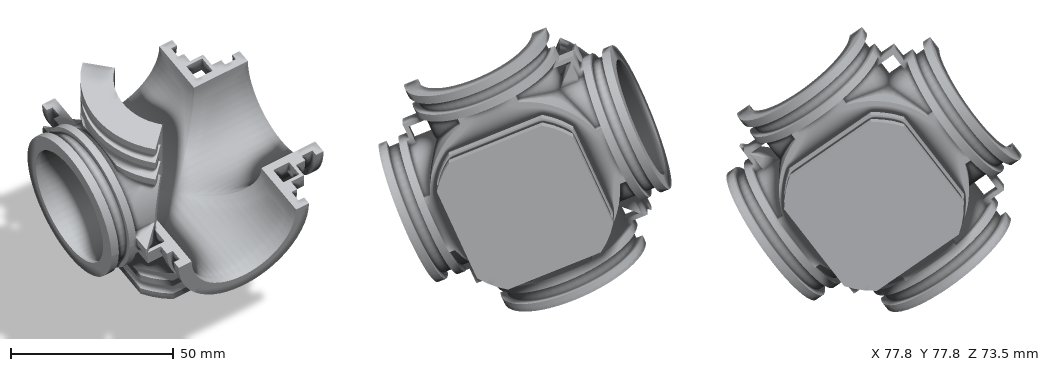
import cadquery as cq
import math

PIPE_HALF_LENGTH = 38.9
BORE_RADIUS = 19.1
PIPE_RADIUS = 21.8
END_FLANGE_RADIUS = 23.9
END_FLANGE_START = 36.15
INNER_FLANGE_START = 29.7
INNER_FLANGE_END = 32.2

RIB_THICKNESS = 2.65
RIB_RADIUS = 29.3
TUBE_TOP = 36.7
TUBE_RIB_BOTTOMS = (19.5, 27.45, TUBE_TOP - RIB_THICKNESS)
HUB_HALF_WIDTH = 27.7
HUB_BOTTOM = -22.3
HUB_TIE_HEIGHT = 2.8
NECK_RADIUS = 40.7 / 2
NECK_BOTTOM = -36.8
NECK_RIB_BOTTOMS = (NECK_BOTTOM, -30.4)
NECK_RIB_RADIUS = 27.7
NECK_RIB_HALF_WIDTH = 22.85

FRAME_HALF_WIDTH = 28.7
FRAME_DEPTH = 5.0
POCKET_HALF_WIDTH = 27.6
TAPER_START_DEPTH = 3.6
PLUG_DEPTH = 6.3
PLUG_HALF_WIDTH_BOTTOM = 27.0
LID_PLATE_HEIGHT = 2.95
LID_PLATE_HALF_WIDTH_BOTTOM = 29.6
LID_PLATE_HALF_WIDTH_TOP = 29.3

REACH = 46.65


def z_cylinder(radius, z_low, z_high):
    return cq.Workplane("XY").workplane(offset=z_low).circle(radius).extrude(z_high - z_low)


def square_block(half_width, z_low, z_high):
    side = 2 * half_width
    return cq.Workplane("XY").workplane(offset=z_low).rect(side, side).extrude(z_high - z_low)


def tapered_block(size_low, z_low, size_high, z_high):
    """Block with sloping sides between two rectangles, each given as (X size, Y size)."""
    low = cq.Workplane("XY").workplane(offset=z_low).rect(*size_low)
    return low.workplane(offset=z_high - z_low).rect(*size_high).loft(ruled=True)


def along_x(z_solid):
    return z_solid.rotate((0, 0, 0), (0, 1, 0), 90)


def along_y(z_solid):
    return z_solid.rotate((0, 0, 0), (1, 0, 0), 90)


def crossed(z_solid):
    """The same symmetric upright shape laid along X and along Y."""
    return along_x(z_solid).union(along_y(z_solid))


def both_ends(radius, start, end):
    """Two equal upright discs, mirrored about the origin."""
    return z_cylinder(radius, start, end).union(z_cylinder(radius, -end, -start))


def flanged_pipe():
    """Upright pipe blank, without its bore, with two flanges at each end."""
    pipe = z_cylinder(PIPE_RADIUS, -PIPE_HALF_LENGTH, PIPE_HALF_LENGTH)
    pipe = pipe.union(both_ends(END_FLANGE_RADIUS, END_FLANGE_START, PIPE_HALF_LENGTH))
    return pipe.union(both_ends(END_FLANGE_RADIUS, INNER_FLANGE_START, INNER_FLANGE_END))


def bore():
    return z_cylinder(BORE_RADIUS, -REACH, REACH)


def plug_block():
    """Square block with a tapered tip: the shape of the frame's opening and of the plugs in it."""
    top_side = 2 * POCKET_HALF_WIDTH
    tip_side = 2 * PLUG_HALF_WIDTH_BOTTOM
    straight = square_block(POCKET_HALF_WIDTH, -TAPER_START_DEPTH, 0)
    tip = tapered_block((tip_side, tip_side), -PLUG_DEPTH, (top_side, top_side), -TAPER_START_DEPTH)
    return straight.union(tip)


def corner_frame():
    """Square frame below the parting plane; its corners outside the pipes are open pockets."""
    return square_block(FRAME_HALF_WIDTH, -FRAME_DEPTH, 0).cut(plug_block())


def flange_lips():
    """The inner flanges reach in to the frame over the frame's depth."""
    lips = crossed(both_ends(END_FLANGE_RADIUS, FRAME_HALF_WIDTH, INNER_FLANGE_START))
    return lips.intersect(square_block(REACH, -FRAME_DEPTH, 0))


def hub():
    """Upright drum under the crossing, with flat sides tied to the inner flanges."""
    drum = z_cylinder(RIB_RADIUS, HUB_BOTTOM, 0).intersect(square_block(HUB_HALF_WIDTH, HUB_BOTTOM, 0))
    flat_width = 2 * math.sqrt(RIB_RADIUS**2 - HUB_HALF_WIDTH**2)
    tie = cq.Workplane("XY").box(2 * INNER_FLANGE_START, flat_width, HUB_TIE_HEIGHT)
    tie = tie.translate((0, 0, HUB_BOTTOM + HUB_TIE_HEIGHT / 2))
    return drum.union(tie).union(tie.rotate((0, 0, 0), (0, 0, 1), 90))


def neck():
    """Solid spigot below the hub with two square ribs whose corners are rounded."""
    spigot = z_cylinder(NECK_RADIUS, NECK_BOTTOM, HUB_BOTTOM)
    for rib_bottom in NECK_RIB_BOTTOMS:
        rib_top = rib_bottom + RIB_THICKNESS
        rib = z_cylinder(NECK_RIB_RADIUS, rib_bottom, rib_top)
        spigot = spigot.union(rib.intersect(square_block(NECK_RIB_HALF_WIDTH, rib_bottom, rib_top)))
    return spigot


def make_shell():
    """Lower half of the crossing, open at the parting plane Z = 0."""
    pipes = crossed(flanged_pipe()).intersect(square_block(REACH, -REACH, 0))
    shell = pipes.union(corner_frame()).union(flange_lips()).union(hub()).union(neck())
    return shell.cut(crossed(bore()))


def lid_tube():
    """Upright tube blank with three ribs, the lowest one flat towards the inner flange."""
    tube = z_cylinder(PIPE_RADIUS, 0, TUBE_TOP)
    for rib_bottom in TUBE_RIB_BOTTOMS:
        tube = tube.union(z_cylinder(RIB_RADIUS, rib_bottom, rib_bottom + RIB_THICKNESS))
    lowest = TUBE_RIB_BOTTOMS[0]
    trim = square_block(REACH, lowest, lowest + RIB_THICKNESS)
    trim = trim.cut(square_block(HUB_HALF_WIDTH, lowest, lowest + RIB_THICKNESS))
    return tube.cut(trim)


def lid_plate():
    """Flat plate on the parting plane that reaches the inner flange, with sloping X ends."""
    depth = 2 * INNER_FLANGE_START
    bottom_size = (2 * LID_PLATE_HALF_WIDTH_BOTTOM, depth)
    top_size = (2 * LID_PLATE_HALF_WIDTH_TOP, depth)
    return tapered_block(bottom_size, 0, top_size, LID_PLATE_HEIGHT)


def lid_plugs():
    """Plugs that fill the frame's opening outside the pipes."""
    return plug_block().cut(crossed(z_cylinder(PIPE_RADIUS, -REACH, REACH)))


def front_wedge():
    """Quarter of space where -Y is greater than |X|."""
    corners = [(0, 0), (-REACH, -REACH), (REACH, -REACH)]
    triangle = cq.Workplane("XY").workplane(offset=-REACH).polyline(corners)
    return triangle.close().extrude(2 * REACH)


def make_lid():
    """Front quarter of the upper half: half of the front pipe and a quarter of the upright tube."""
    pipe = along_y(flanged_pipe()).intersect(square_block(REACH, 0, REACH))
    lid = pipe.union(lid_tube()).union(lid_plate())
    lid = lid.cut(along_y(bore())).cut(z_cylinder(BORE_RADIUS, 0, REACH))
    return lid.union(lid_plugs()).intersect(front_wedge())


shell = make_shell()
lid = make_lid()

result = cq.Compound.makeCompound([shell.solids().val(), lid.solids().val()])